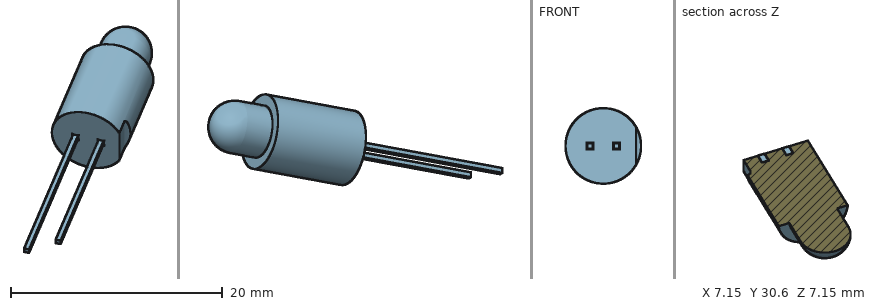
import cadquery as cq

total_length = 30.6
body_diameter = 7.15
body_length = 9.52
lens_diameter = 5.02
long_lead_length = 15.88
short_lead_length = 13.9
lead_thickness = 0.5
lead_spacing = 2.5
lead_clearance = 0.1
lead_pocket_depth = 1.0
flat_offset = 3.1
flat_length = 2.0
flat_corner_radius = 0.37

body_front = body_length
dome_tip = total_length - long_lead_length
body_radius = body_diameter / 2
lens_radius = lens_diameter / 2
dome_start = dome_tip - lens_radius
pocket_width = lead_thickness + 2 * lead_clearance


def make_lamp():
    """Revolve the body and the domed lens about the Y axis."""
    profile = (
        cq.Workplane("XY")
        .lineTo(-body_radius, 0)
        .lineTo(-body_radius, body_front)
        .lineTo(-lens_radius, body_front)
        .lineTo(-lens_radius, dome_start)
        .radiusArc((0, dome_tip), lens_radius)
        .close()
    )
    return profile.revolve(360, (0, 0), (0, 1))


def make_flat_cutter():
    """Block that cuts the rear flat, rounded at the inner corner."""
    return (
        cq.Workplane("XY")
        .box(body_radius, flat_length, body_diameter, centered=(False, False, True))
        .translate((flat_offset, 0, 0))
        .edges("|Z and <X and >Y")
        .fillet(flat_corner_radius)
    )


def make_square_bar(x, thickness, rear, front):
    """Square bar along Y, centered at x, from the rear to the front position."""
    return (
        cq.Workplane("XY")
        .box(thickness, front - rear, thickness, centered=(True, False, True))
        .translate((x, rear, 0))
    )


def add_lead(lamp, x, length):
    """Cut the square pocket in the rear face and set a lead on its floor."""
    pocket = make_square_bar(x, pocket_width, 0, lead_pocket_depth)
    lead = make_square_bar(x, lead_thickness, -length, lead_pocket_depth)
    return lamp.cut(pocket).union(lead)


result = make_lamp().cut(make_flat_cutter())
result = add_lead(result, -lead_spacing / 2, long_lead_length)
result = add_lead(result, lead_spacing / 2, short_lead_length)